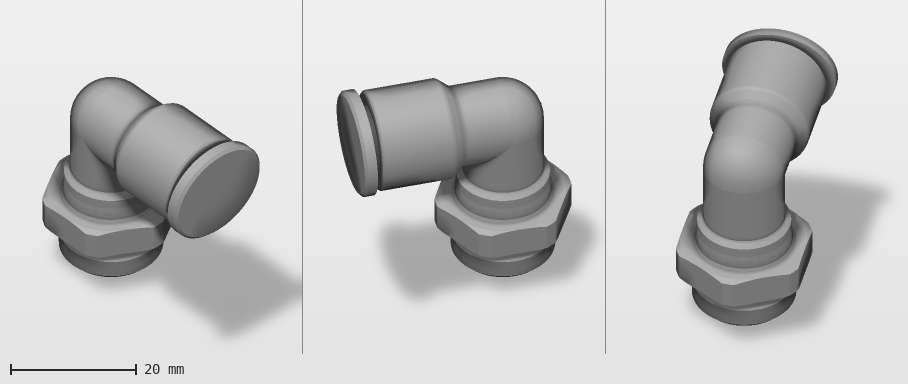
import cadquery as cq
import math


total_length = 36.0
total_height = 35.3
full_turn = 360
quarter_turn = 90

hex_sides = 6
hex_across_flats = 20.0
hex_corner_diameter = 22.05
hex_bottom_z = 7.02
hex_height = 5.05
hex_top_chamfer_height = 0.4
hex_bottom_chamfer_height = 0.15
hex_bottom_chamfer_width = 0.45

foot_radius = 8.3
foot_end_radius = 7.38
foot_end_chamfer_height = 1.0
foot_shoulder_z = 4.0
groove_radius = 7.3
groove_bottom_z = 4.5
groove_top_z = 6.48
groove_flare = 0.3

collar_radius = 7.5
collar_skirt_radius = 7.75
collar_foot_radius = 8.17
collar_foot_height = 0.35
collar_taper_top_z = 14.58
collar_chamfer_z = 16.2
collar_top_z = 17.1

elbow_radius = 6.5
socket_radius = 8.15
socket_cone_start_x = 7.92
socket_cone_angle = 40.0
socket_blend_radius = 1.0
socket_end_x = 21.7
socket_end_chamfer = 0.3

ring_neck_radius = 5.85
ring_start_x = 22.95
ring_half_width = 9.3
ring_half_height = 8.03
ring_chamfer = 0.45

hex_corner_radius = hex_corner_diameter / 2
hex_flat_radius = hex_across_flats / 2
hex_top_z = hex_bottom_z + hex_height
elbow_z = total_height - socket_radius
ring_end_x = total_length - hex_corner_radius
ring_thickness = ring_end_x - ring_start_x
socket_cone_length = (socket_radius - elbow_radius) / math.tan(math.radians(socket_cone_angle))
socket_cone_end_x = socket_cone_start_x + socket_cone_length


def turned_about_z(outline):
    """Solid of revolution about Z from (radius, z) points."""
    return cq.Workplane("XZ").polyline(outline).close().revolve(full_turn, (0, 0), (0, 1))


def make_foot():
    """Threaded foot with its groove, ending inside the hexagon."""
    return turned_about_z([
        (0, 0),
        (foot_end_radius, 0),
        (foot_radius, foot_end_chamfer_height),
        (foot_radius, foot_shoulder_z),
        (groove_radius, groove_bottom_z),
        (groove_radius, groove_top_z),
        (groove_radius + groove_flare, hex_bottom_z),
        (groove_radius + groove_flare, hex_top_z),
        (0, hex_top_z),
    ])


def make_hexagon():
    """Hexagon with corners on X, trimmed by a turned envelope with chamfered ends."""
    corner_to_corner = hex_across_flats / math.cos(math.pi / hex_sides)
    prism = (
        cq.Workplane("XY", origin=(0, 0, hex_bottom_z))
        .polygon(hex_sides, corner_to_corner)
        .extrude(hex_height)
    )
    envelope = turned_about_z([
        (0, hex_bottom_z),
        (hex_corner_radius - hex_bottom_chamfer_width, hex_bottom_z),
        (hex_corner_radius, hex_bottom_z + hex_bottom_chamfer_height),
        (hex_corner_radius, hex_top_z - hex_top_chamfer_height),
        (hex_flat_radius, hex_top_z),
        (0, hex_top_z),
    ])
    return prism.intersect(envelope)


def make_collar():
    """Tapered collar between the hexagon and the elbow."""
    return turned_about_z([
        (0, hex_top_z),
        (collar_foot_radius, hex_top_z),
        (collar_skirt_radius, hex_top_z + collar_foot_height),
        (collar_radius, collar_taper_top_z),
        (collar_radius, collar_chamfer_z),
        (elbow_radius, collar_top_z),
        (0, collar_top_z),
    ])


def make_elbow():
    """Upright cylinder with a quarter ball that rounds the outside of the bend."""
    upright = (
        cq.Workplane("XY", origin=(0, 0, collar_top_z))
        .circle(elbow_radius)
        .extrude(elbow_z - collar_top_z)
    )
    quarter_ball = (
        cq.Workplane("XY", origin=(0, 0, elbow_z))
        .moveTo(0, -elbow_radius)
        .threePointArc((-elbow_radius, 0), (0, elbow_radius))
        .close()
        .revolve(quarter_turn, (0, 0), (0, 1))
    )
    return upright.union(quarter_ball)


def make_socket():
    """Level arm of the elbow widening into the tube socket over a blended conical shoulder."""
    socket = (
        cq.Workplane("XZ", origin=(0, 0, elbow_z))
        .polyline([
            (0, 0),
            (0, elbow_radius),
            (socket_cone_start_x, elbow_radius),
            (socket_cone_end_x, socket_radius),
            (socket_end_x, socket_radius),
            (socket_end_x, 0),
        ])
        .close()
        .revolve(full_turn, (0, 0), (1, 0))
    )
    socket = socket.faces(">X").edges().chamfer(socket_end_chamfer)
    shoulder_edges = socket.faces("%CONE").faces("<X").edges("%CIRCLE")
    return shoulder_edges.fillet(socket_blend_radius)


def make_release_ring():
    """Oval release ring on a round neck."""
    neck = (
        cq.Workplane("YZ", origin=(socket_end_x, 0, elbow_z))
        .circle(ring_neck_radius)
        .extrude(ring_start_x - socket_end_x)
    )
    ring = (
        cq.Workplane("YZ", origin=(ring_start_x, 0, elbow_z))
        .ellipse(ring_half_width, ring_half_height)
        .extrude(ring_thickness)
        .faces(">X")
        .edges()
        .chamfer(ring_chamfer)
    )
    return neck.union(ring)


result = (
    make_foot()
    .union(make_hexagon())
    .union(make_collar())
    .union(make_elbow())
    .union(make_socket())
    .union(make_release_ring())
)